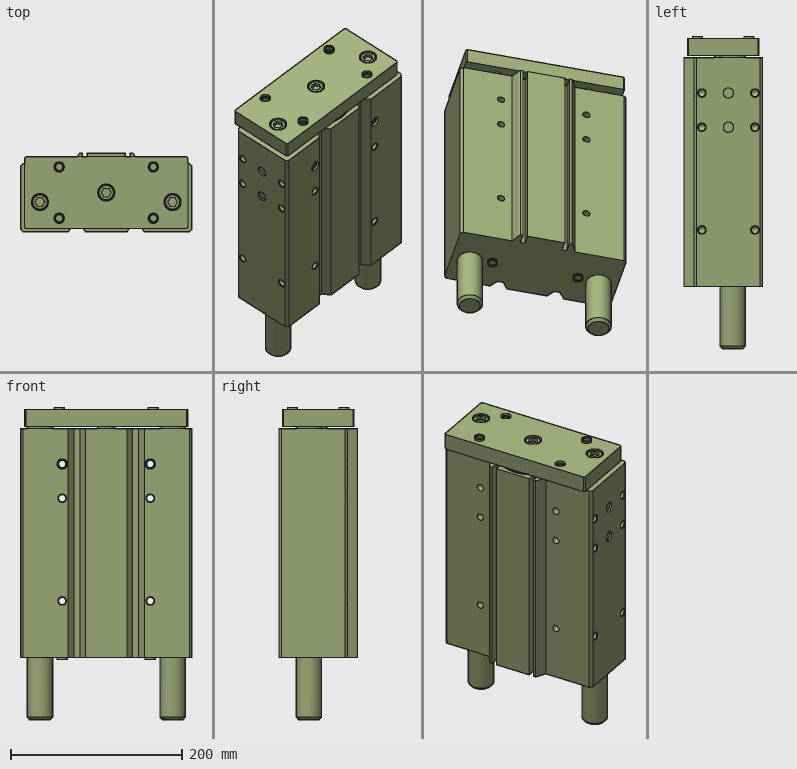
import cadquery as cq
import math


HOUSING_WIDTH = 200.0
HOUSING_DEPTH = 92.0
HOUSING_LENGTH = 267.5
HALF_WIDTH = HOUSING_WIDTH / 2
FRONT_Y = -HOUSING_DEPTH / 2
PAD_Y = HOUSING_DEPTH / 2
PAD_HEIGHT = 12.0
BACK_Y = PAD_Y - PAD_HEIGHT
CORNER_CHAMFER = 3.0

PAD_FOOT_X = 38.0
PAD_SHOULDER_X = 32.5
PAD_TOP_X = 31.0
PAD_EDGE_DROP = 1.5
SENSOR_SLOT_CENTER_X = 25.2
SENSOR_SLOT_WIDTH = 5.6

GROOVE_DEPTH = 9.5
GROOVE_INNER_X = 24.3
GROOVE_FLOOR_INNER_X = 30.5
GROOVE_FLOOR_OUTER_X = 37.6
GROOVE_OUTER_X = 44.5

HOLE_LEVELS = (-41.3, -81.3, -201.3)
THREAD_CORE_DIAMETER = 8.4
THREAD_DIAMETER = 10.0
THREAD_CHAMFER = (THREAD_DIAMETER - THREAD_CORE_DIAMETER) / 2
CENTRING_DIAMETER = 12.0
CENTRING_DEPTH = 3.0
FRONT_HOLE_X = 51.5

SIDE_CENTER_Y = -6.0
SIDE_HOLE_OFFSET_Y = 31.0
SIDE_HOLE_DEPTH = 20.0
DRILL_TIP_HEIGHT = 2.4
PORT_DIAMETER = 12.0
PORT_DEPTH = 2.5

COVER_DIAMETER = 80.0
COVER_GROOVE_DIAMETER = 82.0
COVER_GROOVE_DEPTH = 1.0

RING_BORE = THREAD_DIAMETER
RING_HEIGHT = 2.5

PLATE_WIDTH = 191.0
PLATE_DEPTH = 84.0
PLATE_THICKNESS = 20.0
PLATE_GAP = 2.5
PLATE_TOP = PLATE_GAP + PLATE_THICKNESS
PLATE_CHAMFER = 1.5
PLATE_HOLE_X = 55.0
PLATE_HOLE_Y = 30.0

TOTAL_LENGTH = 365.29
GUIDE_DIAMETER = 30.0
GUIDE_X = 77.5
GUIDE_Y = -11.0
GUIDE_BOTTOM = PLATE_TOP + RING_HEIGHT - TOTAL_LENGTH
GUIDE_END_CHAMFER_HEIGHT = 3.5
GUIDE_END_CHAMFER_WIDTH = 3.0
PISTON_DIAMETER = 20.0
PISTON_BOTTOM = -200.0

SCREW_DIAMETER = 12.0
SCREW_HEAD_DIAMETER = 18.0
SCREW_HEAD_HEIGHT = 12.0
SCREW_HEAD_TOP = PLATE_TOP - 1.0
SCREW_HEAD_CHAMFER = 0.67
SCREW_LENGTH = 30.0
SOCKET_ACROSS_FLATS = 10.0
SOCKET_ACROSS_CORNERS = SOCKET_ACROSS_FLATS / math.cos(math.pi / 6)
SOCKET_DEPTH = 4.0
COUNTERBORE_DIAMETER = 20.0

SEAT_Z = SCREW_HEAD_TOP - SCREW_HEAD_HEIGHT
SCREW_TIP = SEAT_Z - SCREW_LENGTH
GUIDE_PLACES = [(-GUIDE_X, GUIDE_Y), (GUIDE_X, GUIDE_Y)]
PISTON_PLACE = (0.0, 0.0)
ROD_PLACES = GUIDE_PLACES + [PISTON_PLACE]
PLATE_HOLE_PLACES = [(x, y) for x in (-PLATE_HOLE_X, PLATE_HOLE_X) for y in (-PLATE_HOLE_Y, PLATE_HOLE_Y)]
PLATE_RING_PLACES = [(-PLATE_HOLE_X, -PLATE_HOLE_Y), (PLATE_HOLE_X, PLATE_HOLE_Y)]
BOTTOM_RING_PLACES = [(-FRONT_HOLE_X, SIDE_CENTER_Y), (FRONT_HOLE_X, SIDE_CENTER_Y)]


def cylinder(place, diameter, bottom, top):
    """Upright cylinder at an (x, y) place between two levels."""
    x, y = place
    disc = cq.Workplane("XY", origin=(x, y, bottom)).circle(diameter / 2)
    return disc.extrude(top - bottom)


def bore(start, direction, diameter, depth):
    """Cylinder that starts on a face and runs into the body."""
    drill = cq.Solid.makeCylinder(diameter / 2, depth, cq.Vector(*start), cq.Vector(*direction))
    return cq.Workplane(obj=drill)


def entry_chamfer(start, direction):
    """Cone that opens a threaded hole from its core to its full diameter."""
    cone = cq.Solid.makeCone(
        THREAD_DIAMETER / 2,
        THREAD_CORE_DIAMETER / 2,
        THREAD_CHAMFER,
        cq.Vector(*start),
        cq.Vector(*direction),
    )
    return cq.Workplane(obj=cone)


def housing_profile():
    """Extruded section: chamfered block with the raised pad on its back."""
    right_half = [
        (HALF_WIDTH - CORNER_CHAMFER, FRONT_Y),
        (HALF_WIDTH, FRONT_Y + CORNER_CHAMFER),
        (HALF_WIDTH, BACK_Y - CORNER_CHAMFER),
        (HALF_WIDTH - CORNER_CHAMFER, BACK_Y),
        (PAD_FOOT_X, BACK_Y),
        (PAD_SHOULDER_X, PAD_Y - PAD_EDGE_DROP),
        (PAD_TOP_X, PAD_Y),
    ]
    left_half = [(-x, y) for x, y in reversed(right_half)]
    section = cq.Workplane("XY").polyline(right_half + left_half).close()
    return section.extrude(-HOUSING_LENGTH)


def front_groove(side):
    points = [
        (side * GROOVE_INNER_X, FRONT_Y),
        (side * GROOVE_FLOOR_INNER_X, FRONT_Y + GROOVE_DEPTH),
        (side * GROOVE_FLOOR_OUTER_X, FRONT_Y + GROOVE_DEPTH),
        (side * GROOVE_OUTER_X, FRONT_Y),
    ]
    return cq.Workplane("XY").polyline(points).close().extrude(-HOUSING_LENGTH)


def sensor_slot(side):
    slot = cq.Workplane("XY").rect(SENSOR_SLOT_WIDTH, PAD_HEIGHT).extrude(-HOUSING_LENGTH)
    return slot.translate((side * SENSOR_SLOT_CENTER_X, PAD_Y - PAD_HEIGHT / 2, 0))


def cut_front_holes(body):
    """Through holes from front to back, the top pair with a centring bore."""
    inward = (0, 1, 0)
    for x in (-FRONT_HOLE_X, FRONT_HOLE_X):
        for level in HOLE_LEVELS:
            body = body.cut(bore((x, FRONT_Y, level), inward, THREAD_CORE_DIAMETER, HOUSING_DEPTH))
            mouth_y = FRONT_Y
            if level == HOLE_LEVELS[0]:
                body = body.cut(bore((x, FRONT_Y, level), inward, CENTRING_DIAMETER, CENTRING_DEPTH))
                mouth_y = FRONT_Y + CENTRING_DEPTH
            body = body.cut(entry_chamfer((x, mouth_y, level), inward))
    return body


def cut_side_holes(body):
    """Blind threaded holes and two shallow port recesses in the -X side."""
    inward = (1, 0, 0)
    for level in HOLE_LEVELS:
        for offset in (-SIDE_HOLE_OFFSET_Y, SIDE_HOLE_OFFSET_Y):
            y = SIDE_CENTER_Y + offset
            start = (-HALF_WIDTH, y, level)
            body = body.cut(bore(start, inward, THREAD_CORE_DIAMETER, SIDE_HOLE_DEPTH))
            body = body.cut(entry_chamfer(start, inward))
            tip = cq.Solid.makeCone(
                THREAD_CORE_DIAMETER / 2,
                0,
                DRILL_TIP_HEIGHT,
                cq.Vector(-HALF_WIDTH + SIDE_HOLE_DEPTH, y, level),
                cq.Vector(*inward),
            )
            body = body.cut(cq.Workplane(obj=tip))
    for level in HOLE_LEVELS[:2]:
        body = body.cut(bore((-HALF_WIDTH, SIDE_CENTER_Y, level), inward, PORT_DIAMETER, PORT_DEPTH))
    return body


def make_housing():
    body = housing_profile()
    for side in (-1, 1):
        body = body.cut(front_groove(side)).cut(sensor_slot(side))
    body = cut_front_holes(body)
    body = cut_side_holes(body)
    groove = cylinder(PISTON_PLACE, COVER_GROOVE_DIAMETER, -COVER_GROOVE_DEPTH, 0)
    body = body.cut(groove.cut(cylinder(PISTON_PLACE, COVER_DIAMETER, -COVER_GROOVE_DEPTH, 0)))
    for place in GUIDE_PLACES:
        body = body.cut(cylinder(place, GUIDE_DIAMETER, -HOUSING_LENGTH, 0))
    body = body.cut(cylinder(PISTON_PLACE, PISTON_DIAMETER, PISTON_BOTTOM, 0))
    for place in BOTTOM_RING_PLACES:
        ring_bottom = -HOUSING_LENGTH - RING_HEIGHT
        body = body.union(cylinder(place, CENTRING_DIAMETER, ring_bottom, -HOUSING_LENGTH))
        body = body.cut(cylinder(place, RING_BORE, ring_bottom, -HOUSING_LENGTH))
    return body


def make_plate():
    outline = cq.Workplane("XY", origin=(0, 0, PLATE_GAP)).rect(PLATE_WIDTH, PLATE_DEPTH)
    body = outline.extrude(PLATE_THICKNESS)
    body = body.edges("|Z").chamfer(PLATE_CHAMFER)
    for place in PLATE_RING_PLACES:
        body = body.union(cylinder(place, CENTRING_DIAMETER, PLATE_TOP, PLATE_TOP + RING_HEIGHT))
    for place in PLATE_HOLE_PLACES:
        body = body.cut(cylinder(place, THREAD_CORE_DIAMETER, PLATE_GAP, PLATE_TOP))
        if place in PLATE_RING_PLACES:
            body = body.cut(cylinder(place, RING_BORE, PLATE_TOP - CENTRING_DEPTH, PLATE_TOP + RING_HEIGHT))
        else:
            x, y = place
            body = body.cut(cylinder(place, CENTRING_DIAMETER, PLATE_TOP - CENTRING_DEPTH, PLATE_TOP))
            body = body.cut(entry_chamfer((x, y, PLATE_TOP - CENTRING_DEPTH), (0, 0, -1)))
    for place in ROD_PLACES:
        body = body.cut(cylinder(place, COUNTERBORE_DIAMETER, SEAT_Z, PLATE_TOP))
        body = body.cut(cylinder(place, SCREW_DIAMETER, PLATE_GAP, SEAT_Z))
    return body


def make_guide_rod(place):
    body = cylinder(place, GUIDE_DIAMETER, GUIDE_BOTTOM, PLATE_GAP)
    body = body.faces("<Z").chamfer(GUIDE_END_CHAMFER_HEIGHT, GUIDE_END_CHAMFER_WIDTH)
    return body.cut(cylinder(place, SCREW_DIAMETER, SCREW_TIP, PLATE_GAP))


def make_piston_rod():
    body = cylinder(PISTON_PLACE, PISTON_DIAMETER, PISTON_BOTTOM, PLATE_GAP)
    return body.cut(cylinder(PISTON_PLACE, SCREW_DIAMETER, SCREW_TIP, PLATE_GAP))


def make_screw(place):
    body = cylinder(place, SCREW_HEAD_DIAMETER, SEAT_Z, SCREW_HEAD_TOP)
    body = body.faces(">Z").chamfer(SCREW_HEAD_CHAMFER)
    body = body.union(cylinder(place, SCREW_DIAMETER, SCREW_TIP, SEAT_Z))
    x, y = place
    socket = cq.Workplane("XY", origin=(x, y, SCREW_HEAD_TOP)).polygon(6, SOCKET_ACROSS_CORNERS)
    return body.cut(socket.extrude(-SOCKET_DEPTH))


housing = make_housing()
plate = make_plate()
guide_rods = [make_guide_rod(place) for place in GUIDE_PLACES]
piston_rod = make_piston_rod()
screws = [make_screw(place) for place in ROD_PLACES]

result = cq.Compound.makeCompound(
    [housing.val(), plate.val(), piston_rod.val()]
    + [rod.val() for rod in guide_rods]
    + [screw.val() for screw in screws]
)